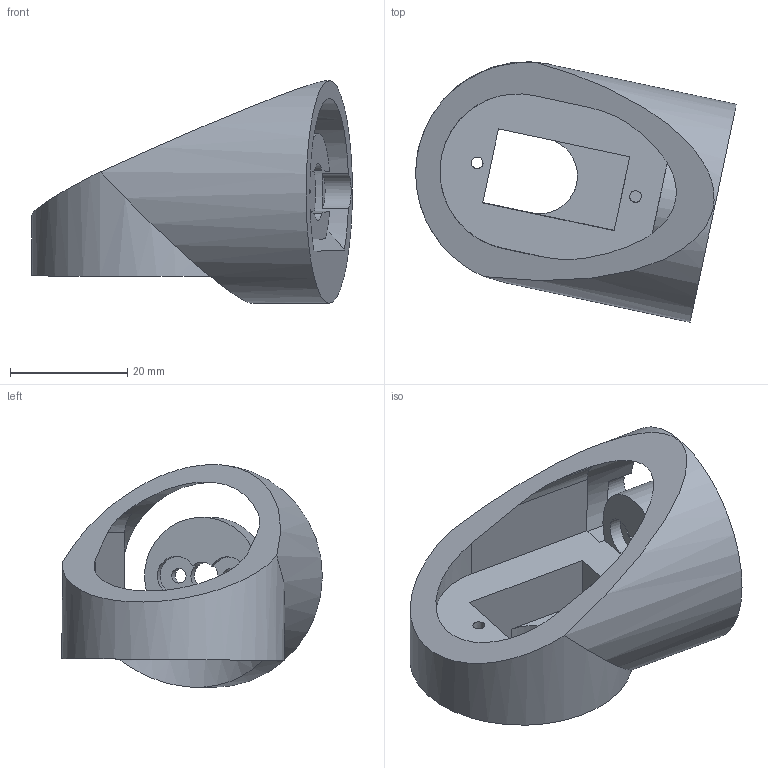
import cadquery as cq
import math

ARM_YAW = -12.0
ROLL = 0.5

OUTER_RADIUS = 19.0
ARM_AXIS_Z = 14.3
ARM_END = 32.45
RELIEF_RADIUS = OUTER_RADIUS + 0.02
LARGE = 100.0

RIM_Z_AT_BACK = 9.8
RIM_RISE = 23.6
RIM_ROLL = -2.8
RIM_ANGLE = math.degrees(math.atan2(RIM_RISE, OUTER_RADIUS + ARM_END))

FLOOR_Z = 10.7
SLOT_HALF_WIDTH = 13.3
SLOT_BACK = 14.9
ARCH_RADIUS = 16.0
ROOF_FILLET = 5.0
SLOT_END = 23.0

BORE_RADIUS = 16.0
BORE_START = 21.9
BORE_FLOOR_Z = 9.0
BORE_LIP_Z = ARM_AXIS_Z - 10.0

BOSS_RADIUS = 10.0
BOSS_END = 30.5
HORN_FLOOR = 27.9
HORN_HALF_HEIGHT = 3.76
HORN_TIP_RADIUS = 3.1
HORN_TIP_REACH = 18.0
HUB_RADIUS = 4.8
SHAFT_HOLE_RADIUS = 2.35
SCREW_OFFSET = 4.45
SCREW_HOLE_RADIUS = 1.25
SCREW_HEAD_RADIUS = 3.3
SCREW_HEAD_DEPTH = 2.1

SERVO_CENTRE = 5.1
SERVO_LENGTH = 22.9
SERVO_WIDTH = 12.9
SERVO_POCKET_Z = 1.8
OPENING_ARC_CENTRE = 2.2
MOUNT_HOLE_SPACING = 27.6
MOUNT_HOLE_RADIUS = 1.0


def along_arm(radius, start, end, y=0.0):
    """Cylinder parallel to the arm axis, between two stations along the arm."""
    plane = cq.Workplane("YZ", origin=(start, y, ARM_AXIS_Z))
    return plane.circle(radius).extrude(end - start)


def block(x_min, x_max, half_width, z_min, z_max):
    """Box centred on Y = 0."""
    base = cq.Workplane("XY", origin=((x_min + x_max) / 2, 0, z_min))
    return base.rect(x_max - x_min, 2 * half_width).extrude(z_max - z_min)


def outer_body():
    """Cup and arm meet on the diagonal plane through the arm axis, like a mitred elbow."""
    cup = cq.Workplane("XY").circle(OUTER_RADIUS).extrude(ARM_AXIS_Z + OUTER_RADIUS)
    arm = along_arm(OUTER_RADIUS, -OUTER_RADIUS, ARM_END)
    arm_side = [
        (-OUTER_RADIUS, ARM_AXIS_Z + OUTER_RADIUS),
        (OUTER_RADIUS, ARM_AXIS_Z - OUTER_RADIUS),
        (LARGE, ARM_AXIS_Z - OUTER_RADIUS),
        (LARGE, ARM_AXIS_Z + OUTER_RADIUS),
    ]
    arm_space = cq.Workplane("XZ").polyline(arm_side).close().extrude(LARGE, both=True)
    below_base = cq.Workplane("XY").circle(RELIEF_RADIUS).extrude(-OUTER_RADIUS)
    return cup.cut(arm_space).union(arm.intersect(arm_space)).cut(below_base)


def rim_cut():
    """Everything above the sloping rim plane."""
    plane = cq.Workplane("XY", origin=(-OUTER_RADIUS, 0, RIM_Z_AT_BACK))
    plane = plane.transformed(rotate=(RIM_ROLL, 0, 0)).transformed(rotate=(0, -RIM_ANGLE, 0))
    return plane.rect(2 * LARGE, LARGE).extrude(LARGE)


def cup_cavity():
    """Slot above the floor, its flat walls rounded into the arched roof."""
    back_centre = SLOT_HALF_WIDTH - SLOT_BACK
    back = cq.Workplane("XY", origin=(back_centre, 0, FLOOR_Z)).circle(SLOT_HALF_WIDTH).extrude(LARGE)
    slot = back.union(block(back_centre, SLOT_END, SLOT_HALF_WIDTH, FLOOR_Z, LARGE))
    roof = along_arm(ARCH_RADIUS, -LARGE, SLOT_END).union(
        block(-LARGE, SLOT_END, LARGE, 0, ARM_AXIS_Z))
    corner_z = ARM_AXIS_Z + math.sqrt(ARCH_RADIUS**2 - SLOT_HALF_WIDTH**2)
    corners = cq.selectors.BoxSelector(
        (back_centre + 1, -LARGE, corner_z - 0.1), (LARGE, LARGE, corner_z + 0.1))
    return slot.intersect(roof).edges("|X").edges(corners).fillet(ROOF_FILLET)


def bore():
    """Round room around the boss, with a flat floor that ramps down to the lip."""
    ramp_run = BORE_FLOOR_Z - BORE_LIP_Z
    profile = [
        (BORE_START, BORE_FLOOR_Z),
        (ARM_END - ramp_run, BORE_FLOOR_Z),
        (ARM_END, BORE_LIP_Z),
        (ARM_END, LARGE),
        (BORE_START, LARGE),
    ]
    allowed = cq.Workplane("XZ").polyline(profile).close().extrude(LARGE, both=True)
    room = along_arm(BORE_RADIUS, BORE_START, ARM_END).intersect(allowed)
    return room.cut(along_arm(BOSS_RADIUS, BORE_START, BOSS_END))


def horn_recess():
    """Tapered recess with round tips and a round hub, open at the arm end."""
    plane = cq.Workplane("YZ", origin=(HORN_FLOOR, 0, ARM_AXIS_Z))
    depth = ARM_END - HORN_FLOOR
    tip = HORN_TIP_REACH - HORN_TIP_RADIUS
    outline = [
        (0, -HORN_HALF_HEIGHT),
        (tip, -HORN_TIP_RADIUS),
        (tip, HORN_TIP_RADIUS),
        (0, HORN_HALF_HEIGHT),
        (-tip, HORN_TIP_RADIUS),
        (-tip, -HORN_TIP_RADIUS),
    ]
    blade = plane.polyline(outline).close().extrude(depth)
    tips = plane.pushPoints([(-tip, 0), (tip, 0)]).circle(HORN_TIP_RADIUS).extrude(depth)
    return blade.union(tips).union(along_arm(HUB_RADIUS, HORN_FLOOR, ARM_END))


def boss_holes():
    """Shaft hole and two counterbored screw holes through the boss."""
    holes = along_arm(SHAFT_HOLE_RADIUS, SLOT_END, ARM_END)
    for y in (-SCREW_OFFSET, SCREW_OFFSET):
        holes = holes.union(along_arm(SCREW_HOLE_RADIUS, SLOT_END, ARM_END, y))
        holes = holes.union(along_arm(SCREW_HEAD_RADIUS, SLOT_END, SLOT_END + SCREW_HEAD_DEPTH, y))
    return holes


def servo_pocket():
    """Rectangular pocket with a round-ended opening through the base."""
    x_min = SERVO_CENTRE - SERVO_LENGTH / 2
    half = SERVO_WIDTH / 2
    pocket = block(x_min, x_min + SERVO_LENGTH, half, SERVO_POCKET_Z, FLOOR_Z)
    opening = block(x_min, OPENING_ARC_CENTRE, half, 0, FLOOR_Z)
    arc = cq.Workplane("XY", origin=(OPENING_ARC_CENTRE, 0, 0)).circle(half).extrude(FLOOR_Z)
    return pocket.union(opening).union(arc)


def mount_holes():
    """Servo screw holes: the back one passes through, the front one is blind."""
    reach = MOUNT_HOLE_SPACING / 2
    back = cq.Workplane("XY").center(SERVO_CENTRE - reach, 0).circle(MOUNT_HOLE_RADIUS).extrude(FLOOR_Z)
    front = cq.Workplane("XY", origin=(SERVO_CENTRE + reach, 0, SERVO_POCKET_Z))
    return back.union(front.circle(MOUNT_HOLE_RADIUS).extrude(FLOOR_Z - SERVO_POCKET_Z))


part = outer_body().cut(rim_cut())
part = part.cut(cup_cavity()).cut(bore()).cut(horn_recess()).cut(boss_holes())
part = part.cut(servo_pocket()).cut(mount_holes())
part = part.rotate((0, 0, 0), (0, 0, 1), ARM_YAW)
result = part.rotate((0, 0, 0), (1, 0, 0), ROLL)